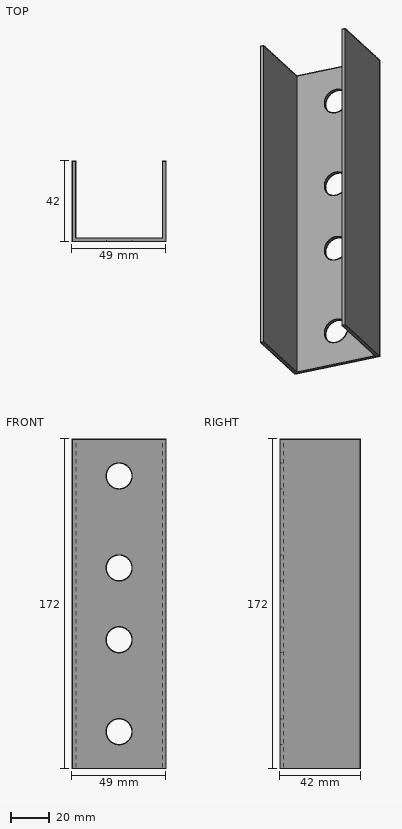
import cadquery as cq

width = 49.0
depth = 42.0
height = 172.0
wall = 1.9

hole_diameter = 13.5
outer_hole_offset = 66.7
inner_hole_offset = 18.7


def make_channel():
    """U-channel standing along Z, web at the -Y side and open toward +Y."""
    outside = cq.Workplane("XY").box(width, depth, height)
    inside = cq.Workplane("XY").box(width - 2 * wall, depth, height).translate((0, wall, 0))
    return outside.cut(inside)


def drill_web(channel):
    """Drill the web along Y without touching the flanges."""
    hole_offsets = (-outer_hole_offset, -inner_hole_offset, inner_hole_offset, outer_hole_offset)
    drills = (
        cq.Workplane("XZ")
        .pushPoints([(0, offset) for offset in hole_offsets])
        .circle(hole_diameter / 2)
        .extrude(depth)
    )
    return channel.cut(drills)


result = drill_web(make_channel())